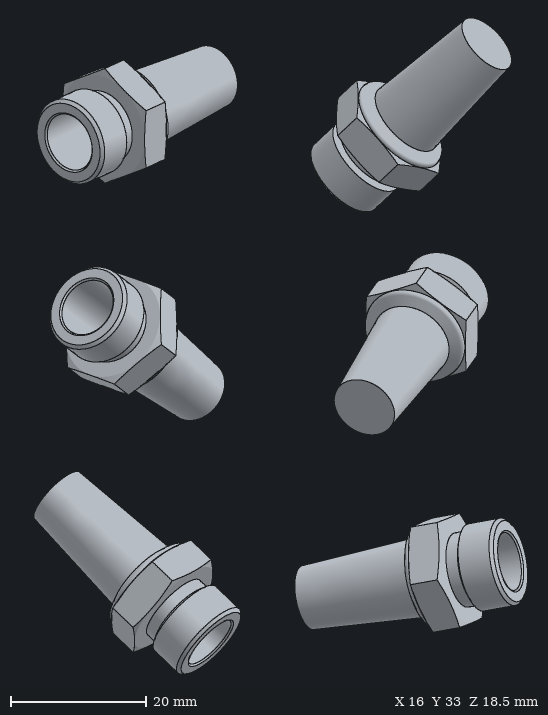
import cadquery as cq
import math

total_length = 33.0
end_chamfer = 0.5
thread_length = 5.55
groove_start = 6.1
hex_start = 8.0
hex_end = 13.0
collar_rim = 13.2
collar_end = 14.52

thread_radius = 6.6
groove_radius = 11.2 / 2
hex_across_flats = 16.0
hex_corner_radius = hex_across_flats / math.sqrt(3)
collar_radius = 7.92
collar_round = 0.7
collar_slope = math.radians(66)
stem_base_radius = 6.0
stem_tip_radius = 4.85
hex_bevel_angle = math.radians(15)

bore_radius = 8.7 / 2
bore_mouth_radius = 4.62
bore_chamfer = bore_mouth_radius - bore_radius
bore_depth = 29.7


def revolve_about_y(profile):
    """Revolve a closed radius / Y profile around the part axis."""
    return profile.close().revolve(360, (0, 0, 0), (0, 1, 0))


def make_thread_end():
    return revolve_about_y(
        cq.Workplane("XY")
        .lineTo(thread_radius - end_chamfer, 0)
        .lineTo(thread_radius, end_chamfer)
        .lineTo(thread_radius, thread_length)
        .lineTo(groove_radius, groove_start)
        .lineTo(groove_radius, hex_start)
        .lineTo(0, hex_start)
    )


def make_hexagon():
    """Hexagon with corners on Z, bevelled conically on both faces."""
    prism = (
        cq.Workplane("XZ", origin=(0, hex_end, 0))
        .polygon(6, 2 * hex_corner_radius)
        .extrude(hex_end - hex_start)
        .rotate((0, 0, 0), (0, 1, 0), 30)
    )
    face_radius = hex_across_flats / 2
    bevel = (hex_corner_radius - face_radius) * math.tan(hex_bevel_angle)
    envelope = revolve_about_y(
        cq.Workplane("XY")
        .moveTo(0, hex_start)
        .lineTo(face_radius, hex_start)
        .lineTo(hex_corner_radius, hex_start + bevel)
        .lineTo(hex_corner_radius, hex_end - bevel)
        .lineTo(face_radius, hex_end)
        .lineTo(0, hex_end)
    )
    return prism.intersect(envelope)


def make_collar_and_stem():
    """Rounded collar with a conical flank, followed by the tapered stem."""
    center_radius = collar_radius - collar_round

    def on_round(angle):
        return (
            center_radius + collar_round * math.cos(angle),
            collar_rim + collar_round * math.sin(angle),
        )

    return revolve_about_y(
        cq.Workplane("XY")
        .moveTo(0, hex_end)
        .lineTo(collar_radius, hex_end)
        .lineTo(collar_radius, collar_rim)
        .threePointArc(on_round(collar_slope / 2), on_round(collar_slope))
        .lineTo(stem_base_radius, collar_end)
        .lineTo(stem_tip_radius, total_length)
        .lineTo(0, total_length)
    )


def make_bore():
    return revolve_about_y(
        cq.Workplane("XY")
        .lineTo(bore_mouth_radius, 0)
        .lineTo(bore_radius, bore_chamfer)
        .lineTo(bore_radius, bore_depth)
        .lineTo(0, bore_depth)
    )


body = make_thread_end().union(make_hexagon()).union(make_collar_and_stem())
result = body.cut(make_bore())